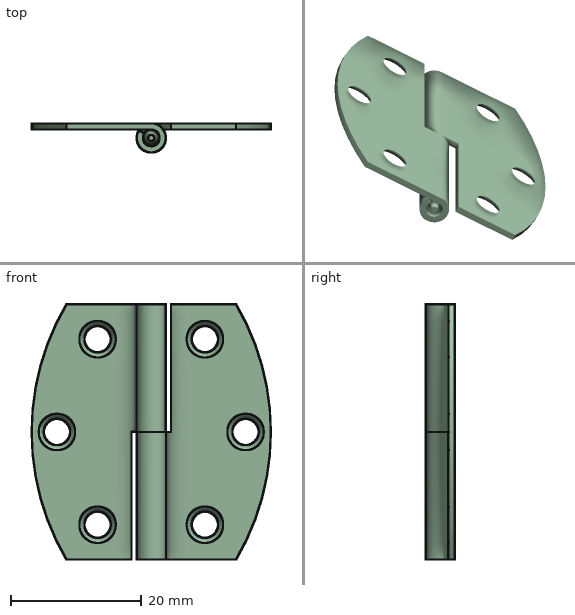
import cadquery as cq
import math

height = 39.3
width = 36.82
end_width = 26.1
thickness = 1.0

knuckle_diameter = 4.5
outer_radius = knuckle_diameter / 2
bore_radius = outer_radius - thickness
axis_y = -outer_radius
curl_end_angle = 148.0

cut_edge_x = 3.03

hole_diameter = 4.0
sink_diameter = 5.62
sink_angle = 90.0
inner_hole_x = 8.25
inner_hole_z = 14.25
outer_hole_x = 14.5
hole_places = [(-inner_hole_x, inner_hole_z), (-outer_hole_x, 0), (-inner_hole_x, -inner_hole_z)]

pin_tip_radius = 0.47
pin_taper = 3.0


def make_plate():
    """Left leaf plate, reaching the pin axis in its upper half only."""
    half_height = height / 2
    return (
        cq.Workplane("XZ")
        .moveTo(0, half_height)
        .lineTo(-end_width / 2, half_height)
        .threePointArc((-width / 2, 0), (-end_width / 2, -half_height))
        .lineTo(-cut_edge_x, -half_height)
        .lineTo(-cut_edge_x, 0)
        .lineTo(0, 0)
        .close()
        .extrude(thickness)
    )


def point_on_roll(radius, angle):
    """Point at an angle about the pin axis, in the XY plane."""
    a = math.radians(angle)
    return (radius * math.cos(a), axis_y + radius * math.sin(a))


def make_knuckle():
    """Open roll that continues the plate clockwise around the bore."""
    start_angle = 90.0
    middle_angle = (start_angle + curl_end_angle - 360) / 2
    return (
        cq.Workplane("XY")
        .moveTo(*point_on_roll(outer_radius, start_angle))
        .threePointArc(
            point_on_roll(outer_radius, middle_angle),
            point_on_roll(outer_radius, curl_end_angle),
        )
        .lineTo(*point_on_roll(bore_radius, curl_end_angle))
        .threePointArc(
            point_on_roll(bore_radius, middle_angle),
            point_on_roll(bore_radius, start_angle),
        )
        .close()
        .extrude(height / 2)
    )


def cut_screw_holes(leaf):
    """Holes countersunk from the knuckle side."""
    return (
        leaf.copyWorkplane(cq.Workplane("XZ", origin=(0, -thickness, 0)))
        .pushPoints(hole_places)
        .cskHole(hole_diameter, sink_diameter, sink_angle)
    )


def make_leaf(turn):
    """One leaf with its knuckle, turned about the Y axis."""
    leaf = cut_screw_holes(make_plate().union(make_knuckle()))
    return leaf.rotate((0, 0, 0), (0, 1, 0), turn)


def make_pin():
    """Full-height pin filling the bore, tapered at both ends."""
    return (
        cq.Workplane("XY", origin=(0, axis_y, -height / 2))
        .circle(bore_radius)
        .extrude(height)
        .faces("<Z or >Z")
        .chamfer(pin_taper, bore_radius - pin_tip_radius)
    )


leaves = [make_leaf(turn) for turn in (0, 180)]
pin = make_pin()

result = cq.Compound.makeCompound([*[leaf.solids().val() for leaf in leaves], pin.val()])